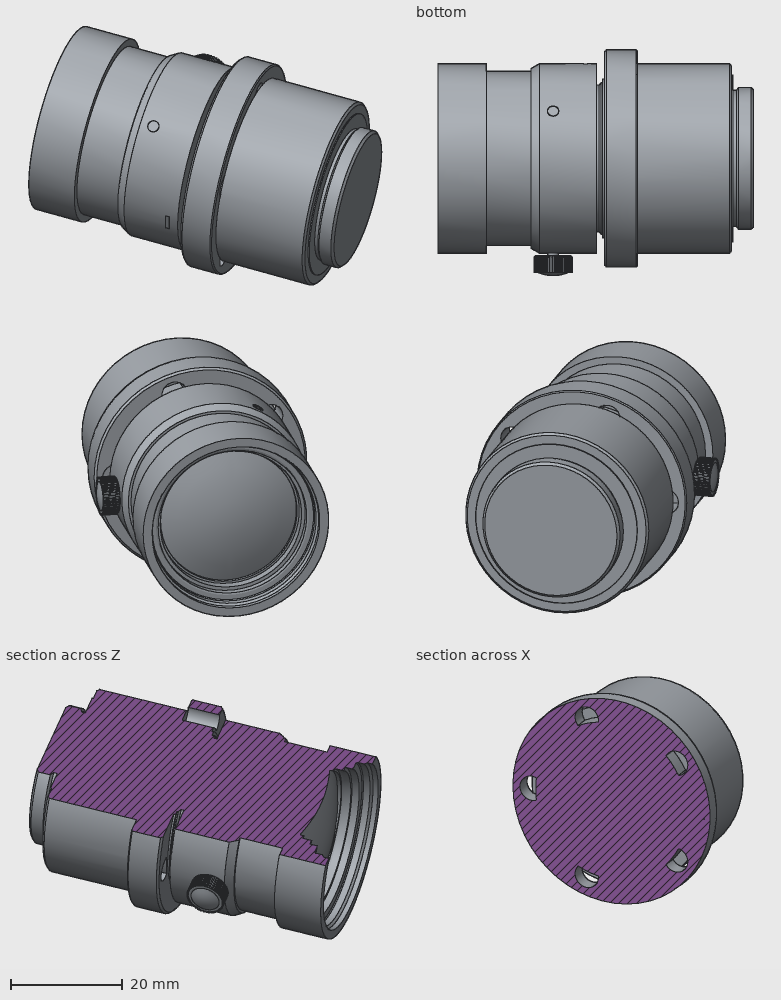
import cadquery as cq
import math


LENGTH = 56.6
FRONT_RIM_END = 8.7
SLEEVE_END = 16.7
RING_CONE_END = 18.2
RING_END = 28.45
REAR_NECK_CONE_START = 28.9
REAR_NECK_CONE_END = 29.25
COLLAR_START = 29.5
FLANGE_START = 29.8
FLANGE_END = 35.75
BODY_END = 52.6
SEAT_END = 52.85
MOUNT_CONE_START = 53.45
MOUNT_START = 53.85

BARREL_R = 34.0 / 2
SLEEVE_R = 31.3 / 2
RING_CONE_R = 16.1
REAR_NECK_R = 13.2
REAR_STEP_R = 27.2 / 2
COLLAR_R = 28.5 / 2
FLANGE_R = 39.0 / 2
SEAT_R = 15.0
MOUNT_NECK_R = 12.2
MOUNT_R = 12.75

FLANGE_FRONT_CHAMFER = 0.4
FLANGE_REAR_CHAMFER = 0.2
BODY_CHAMFER = 0.4
MOUNT_CHAMFER = 0.45

MOUTH_R = 30.7 / 2
MOUTH_DEPTH = 0.95
THREAD_R = 15.0
THREAD_START = 1.4
THREAD_END = 2.65
SHOULDER_OUTER_R = 14.8
SHOULDER_INNER_R = 14.0
SHOULDER_DEPTH = 2.9
SECOND_START = 3.0
SECOND_R = 27.2 / 2
SECOND_DEPTH = 4.35
RETAINER_R = 12.95
RETAINER_TAPER_START = 5.6
RETAINER_TAPER_R = 12.9
RETAINER_DEPTH = 6.05
GLASS_R = 12.5
GLASS_EDGE_DEPTH = 6.75
GLASS_APEX_DEPTH = 4.25

FLANGE_HOLE_D = 4.5
FLANGE_HOLE_COUNT = 5
FLANGE_HOLE_CIRCLE_R = 15.75
FLANGE_CORE_R = 15.0

SCREW_X = 20.65
SCREW_COUNT = 3
SCREW_HOLE_D = 2.05
SCREW_HOLE_DEPTH = 0.15
SHANK_D = 2.0
SHANK_ROOT = 16.4
HEAD_R = 6.9 / 2
HEAD_BASE = 17.4
HEAD_TOP = 20.5
HEAD_CHAMFER = 0.3
DOME_R = 2.65
DOME_TOP = 21.02
KNURL_COUNT = 40
KNURL_DEPTH = 0.2
KNURL_WIDTH = math.pi * HEAD_R / KNURL_COUNT

MARK_X = 26.5
MARK_WIDTH = 0.7
MARK_LENGTH = 3.15
MARK_DEPTH = 0.1


def make_barrel():
    """Revolve the half section of barrel, flange, mount and glass."""
    flange_land_start = FLANGE_START + FLANGE_FRONT_CHAMFER
    flange_land_end = FLANGE_END - FLANGE_REAR_CHAMFER
    half_apex_depth, half_glass_r = glass_mid_point()
    section = (
        cq.Workplane("XY")
        .moveTo(GLASS_APEX_DEPTH, 0)
        .threePointArc((half_apex_depth, half_glass_r), (GLASS_EDGE_DEPTH, GLASS_R))
        .lineTo(RETAINER_DEPTH, GLASS_R)
        .lineTo(RETAINER_DEPTH, RETAINER_TAPER_R)
        .lineTo(RETAINER_TAPER_START, RETAINER_R)
        .lineTo(SECOND_DEPTH, RETAINER_R)
        .lineTo(SECOND_DEPTH, SECOND_R)
        .lineTo(SECOND_START, SECOND_R)
        .lineTo(SHOULDER_DEPTH, SHOULDER_INNER_R)
        .lineTo(SHOULDER_DEPTH, SHOULDER_OUTER_R)
        .lineTo(THREAD_END, THREAD_R)
        .lineTo(THREAD_START, THREAD_R)
        .lineTo(MOUTH_DEPTH, MOUTH_R)
        .lineTo(0, MOUTH_R)
        .lineTo(0, BARREL_R)
        .lineTo(FRONT_RIM_END, BARREL_R)
        .lineTo(FRONT_RIM_END, SLEEVE_R)
        .lineTo(SLEEVE_END, SLEEVE_R)
        .lineTo(SLEEVE_END, RING_CONE_R)
        .lineTo(RING_CONE_END, BARREL_R)
        .lineTo(RING_END, BARREL_R)
        .lineTo(RING_END, REAR_NECK_R)
        .lineTo(REAR_NECK_CONE_START, REAR_NECK_R)
        .lineTo(REAR_NECK_CONE_END, REAR_STEP_R)
        .lineTo(COLLAR_START, REAR_STEP_R)
        .lineTo(COLLAR_START, COLLAR_R)
        .lineTo(FLANGE_START, COLLAR_R)
        .lineTo(FLANGE_START, FLANGE_R - FLANGE_FRONT_CHAMFER)
        .lineTo(flange_land_start, FLANGE_R)
        .lineTo(flange_land_end, FLANGE_R)
        .lineTo(FLANGE_END, FLANGE_R - FLANGE_REAR_CHAMFER)
        .lineTo(FLANGE_END, BARREL_R)
        .lineTo(BODY_END - BODY_CHAMFER, BARREL_R)
        .lineTo(BODY_END, BARREL_R - BODY_CHAMFER)
        .lineTo(BODY_END, SEAT_R)
        .lineTo(SEAT_END, SEAT_R)
        .lineTo(SEAT_END, MOUNT_NECK_R)
        .lineTo(MOUNT_CONE_START, MOUNT_NECK_R)
        .lineTo(MOUNT_START, MOUNT_R)
        .lineTo(LENGTH - MOUNT_CHAMFER, MOUNT_R)
        .lineTo(LENGTH, MOUNT_R - MOUNT_CHAMFER)
        .lineTo(LENGTH, 0)
        .close()
    )
    return section.revolve(360, (0, 0, 0), (1, 0, 0))


def glass_mid_point():
    """Point halfway along the spherical glass profile, as (depth, radius)."""
    sag = GLASS_EDGE_DEPTH - GLASS_APEX_DEPTH
    sphere_r = (GLASS_R**2 + sag**2) / (2 * sag)
    half_angle = math.asin(GLASS_R / sphere_r) / 2
    depth = GLASS_APEX_DEPTH + sphere_r * (1 - math.cos(half_angle))
    return depth, sphere_r * math.sin(half_angle)


def make_flange_holes():
    """Axial cutters through the flange, outside its core, the first one at +Y."""
    thickness = FLANGE_END - FLANGE_START
    front = cq.Workplane("YZ", origin=(FLANGE_START, 0, 0))
    core = front.circle(FLANGE_CORE_R).extrude(thickness)
    holes = (
        front
        .polarArray(FLANGE_HOLE_CIRCLE_R, 0, 360, FLANGE_HOLE_COUNT)
        .circle(FLANGE_HOLE_D / 2)
        .extrude(thickness)
    )
    return holes.cut(core)


def radial_plane(radius):
    """Workplane square to Y at the screw station; its normal points to -Y."""
    return cq.Workplane("XZ", origin=(SCREW_X, radius, 0))


def make_sunk_screw_holes():
    """Shallow radial holes in the focus ring, at every screw position but +Y."""
    floor_r = BARREL_R - SCREW_HOLE_DEPTH
    hole = radial_plane(floor_r).circle(SCREW_HOLE_D / 2).extrude(-2 * SCREW_HOLE_DEPTH)
    pitch = 360 / SCREW_COUNT
    holes = cq.Workplane()
    for index in range(1, SCREW_COUNT):
        holes = holes.add(hole.rotate((0, 0, 0), (1, 0, 0), index * pitch))
    return holes.combine()


def make_knurled_screw():
    """Thumb screw standing out of the focus ring at +Y."""
    dome_sag = DOME_TOP - HEAD_TOP
    dome_sphere_r = (DOME_R**2 + dome_sag**2) / (2 * dome_sag)
    dome_center = DOME_TOP - dome_sphere_r
    half_angle = math.asin(DOME_R / dome_sphere_r) / 2
    dome_mid = (
        dome_sphere_r * math.sin(half_angle),
        dome_center + dome_sphere_r * math.cos(half_angle),
    )
    screw = (
        cq.Workplane("XY", origin=(SCREW_X, 0, 0))
        .moveTo(0, SHANK_ROOT)
        .lineTo(SHANK_D / 2, SHANK_ROOT)
        .lineTo(SHANK_D / 2, HEAD_BASE)
        .lineTo(HEAD_R - HEAD_CHAMFER, HEAD_BASE)
        .lineTo(HEAD_R, HEAD_BASE + HEAD_CHAMFER)
        .lineTo(HEAD_R, HEAD_TOP)
        .lineTo(DOME_R, HEAD_TOP)
        .threePointArc(dome_mid, (0, DOME_TOP))
        .close()
        .revolve(360, (0, 0, 0), (0, 1, 0))
    )
    grooves = (
        radial_plane(HEAD_BASE)
        .polarArray(HEAD_R, 0, 360, KNURL_COUNT)
        .rect(2 * KNURL_DEPTH, KNURL_WIDTH)
        .extrude(HEAD_BASE - HEAD_TOP)
    )
    return screw.cut(grooves)


def make_index_mark():
    """Shallow rectangular recess in the focus ring at -Y."""
    return cq.Workplane("XY").box(MARK_WIDTH, 2 * MARK_DEPTH, MARK_LENGTH).translate((MARK_X, -BARREL_R, 0))


result = (
    make_barrel()
    .cut(make_flange_holes())
    .cut(make_sunk_screw_holes())
    .cut(make_index_mark())
    .union(make_knurled_screw())
)